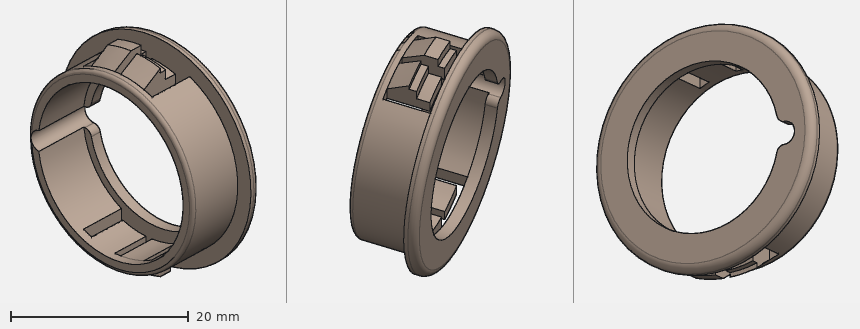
import cadquery as cq
import math


flange_radius = 14.5
flange_thickness = 1.5
flange_round = 1.0
bore_radius = 10.0

barrel_radius = 12.5
barrel_wall = 1.5
barrel_inner_radius = barrel_radius - barrel_wall
total_depth = 9.0
barrel_end_round = 0.5

window_half_width = 5.2
window_end_depth = 7.8

tab_start_depth = 2.6
tab_peak_depth = 5.1
tab_peak_radius = 14.05
tab_outer_x = 4.0
tab_gap = 0.9

high_tab_ledge_radius = 12.9
high_tab_crest_radius = tab_peak_radius
high_tab_step_depth = 3.4
low_tab_drop = 0.55
low_tab_ledge_radius = high_tab_ledge_radius - low_tab_drop
low_tab_crest_radius = high_tab_crest_radius - low_tab_drop
low_tab_step_depth = 4.2

notch_radius = 1.35
notch_lip_round = 1.0


def revolve_about_axis(profile):
    """Turn a closed (radius, Y) outline fully around the Y axis."""
    return profile.close().revolve(360, (0, 0, 0), (0, 1, 0))


def make_ring():
    """Flange and barrel as one turned body with rounded outer rims."""
    profile = (
        cq.Workplane("ZY")
        .moveTo(bore_radius, 0)
        .lineTo(flange_radius - flange_round, 0)
        .radiusArc((flange_radius, -flange_round), flange_round)
        .lineTo(flange_radius, -flange_thickness)
        .lineTo(barrel_radius, -flange_thickness)
        .lineTo(barrel_radius, barrel_end_round - total_depth)
        .radiusArc((barrel_radius - barrel_end_round, -total_depth), barrel_end_round)
        .lineTo(barrel_inner_radius, -total_depth)
        .lineTo(barrel_inner_radius, -flange_thickness)
        .lineTo(bore_radius, -flange_thickness)
    )
    return revolve_about_axis(profile)


def make_windows():
    """One block that opens both windows, from the flange to near the barrel end."""
    return cq.Workplane("XY").box(
        2 * window_half_width,
        window_end_depth - flange_thickness,
        2 * flange_radius,
    ).translate((0, -(flange_thickness + window_end_depth) / 2, 0))


def make_tab(ledge_radius, crest_radius, step_depth, x_start, x_end):
    """Snap tab at +Z between two X planes: a ledge, a crest and a ramp to the barrel."""
    profile = (
        cq.Workplane("ZY")
        .moveTo(barrel_inner_radius, -tab_start_depth)
        .lineTo(ledge_radius, -tab_start_depth)
        .lineTo(ledge_radius, -step_depth)
        .lineTo(crest_radius, -step_depth)
        .lineTo(crest_radius, -tab_peak_depth)
    )
    if crest_radius < tab_peak_radius:
        profile = profile.lineTo(tab_peak_radius, -tab_peak_depth)
    profile = (
        profile
        .lineTo(barrel_radius, -window_end_depth)
        .lineTo(barrel_inner_radius, -window_end_depth)
    )
    slab = cq.Workplane("XY").box(
        x_end - x_start,
        total_depth,
        flange_radius,
        centered=False,
    ).translate((x_start, -total_depth, 0))
    return revolve_about_axis(profile).intersect(slab)


def make_tab_pair():
    """The two tabs of the +Z window: the high tab on the -X side, the low one on +X."""
    inner_x = tab_gap / 2
    high_tab = make_tab(
        high_tab_ledge_radius, high_tab_crest_radius, high_tab_step_depth, -tab_outer_x, -inner_x
    )
    low_tab = make_tab(
        low_tab_ledge_radius, low_tab_crest_radius, low_tab_step_depth, inner_x, tab_outer_x
    )
    return high_tab.union(low_tab)


def make_notch():
    """Semicircular notch whose mouth blends into the bore with two rounds."""
    round_center_z = notch_radius + notch_lip_round
    center_x = -math.sqrt((bore_radius + notch_lip_round) ** 2 - round_center_z ** 2)
    bore_share = bore_radius / (bore_radius + notch_lip_round)
    mouth_x = center_x * bore_share
    mouth_z = round_center_z * bore_share
    return (
        cq.Workplane("XZ")
        .moveTo(mouth_x, mouth_z)
        .radiusArc((center_x, notch_radius), notch_lip_round)
        .threePointArc((center_x - notch_radius, 0), (center_x, -notch_radius))
        .radiusArc((mouth_x, -mouth_z), notch_lip_round)
        .close()
        .extrude(total_depth)
    )


body = make_ring().cut(make_windows())
tab_pair = make_tab_pair()
for turn in (0, 180):
    body = body.union(tab_pair.rotate((0, 0, 0), (0, 1, 0), turn))
result = body.cut(make_notch())